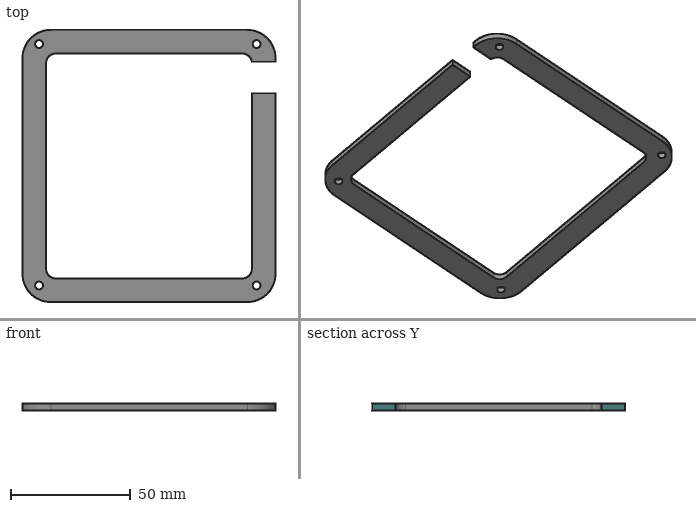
import cadquery as cq

length_x = 106.0
length_y = 114.0
thickness = 3.0
outer_radius = 12.0
rail_width = 10.0
inner_radius = 4.0

hole_diameter = 3.2
hole_spacing_x = 91.0
hole_spacing_y = 101.0
hole_inset_left = 7.0
hole_inset_bottom = 7.0

gap_start = 13.5
gap_width = 13.0


def rounded_plate(size_x, size_y, radius):
    """Flat plate centred on the Z axis, base at Z = 0, with rounded corners."""
    return cq.Workplane("XY").rect(size_x, size_y).extrude(thickness).edges("|Z").fillet(radius)


def screw_holes():
    """Four through-hole cylinders, one near each outer corner."""
    centre_x = (hole_spacing_x - length_x) / 2 + hole_inset_left
    centre_y = (hole_spacing_y - length_y) / 2 + hole_inset_bottom
    return (
        cq.Workplane("XY")
        .center(centre_x, centre_y)
        .rect(hole_spacing_x, hole_spacing_y, forConstruction=True)
        .vertices()
        .circle(hole_diameter / 2)
        .extrude(thickness)
    )


def rail_gap():
    """Block that cuts the +X rail open, reaching inward past the inner corner fillet."""
    gap_depth = rail_width + inner_radius
    centre_x = (length_x - gap_depth) / 2
    centre_y = length_y / 2 - gap_start - gap_width / 2
    return (
        cq.Workplane("XY")
        .center(centre_x, centre_y)
        .rect(gap_depth, gap_width)
        .extrude(thickness)
    )


frame = rounded_plate(length_x, length_y, outer_radius)
opening = rounded_plate(length_x - 2 * rail_width, length_y - 2 * rail_width, inner_radius)

result = frame.cut(opening).cut(screw_holes()).cut(rail_gap())